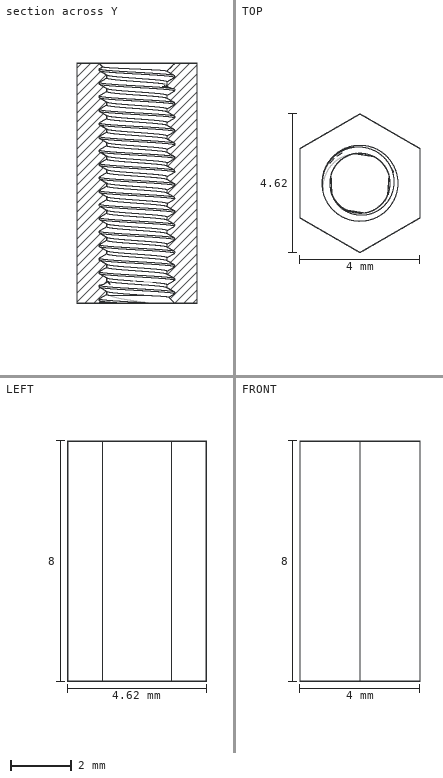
import cadquery as cq
import math

across_flats = 4.0
length = 8.0
across_corners = across_flats / math.cos(math.radians(30))

pitch = 0.45
minor_diameter = 2.0
major_diameter = 2.5
root_width = pitch / 8
flank_slope = math.tan(math.radians(30))
thread_start_angle = -100.0

countersink_diameter = 2.53
countersink_depth = (countersink_diameter - minor_diameter) / 2

groove_overrun = pitch
groove_turns = math.ceil((length + 2 * groove_overrun) / pitch)
groove_height = groove_turns * pitch

groove_overlap = 0.03

core_overrun = 2 * groove_overrun


def hexagonal_body():
    """Hexagonal prism with flats facing -X and +X."""
    return (
        cq.Workplane("XY")
        .polygon(6, across_corners)
        .extrude(length)
        .rotate((0, 0, 0), (0, 0, 1), 90)
    )


def groove_profile():
    """Radius and height of the corners of the 60 degree V groove with a flat root."""
    root_radius = major_diameter / 2
    mouth_radius = minor_diameter / 2 - groove_overlap
    root_half = root_width / 2
    mouth_half = root_half + (root_radius - mouth_radius) * flank_slope
    return [
        (mouth_radius, -mouth_half),
        (root_radius, -root_half),
        (root_radius, root_half),
        (mouth_radius, mouth_half),
    ]


def thread_groove():
    """Right-handed helical groove as a solid: ruled faces between helices, closed by two end faces."""
    profile = groove_profile()
    helices = [
        cq.Wire.makeHelix(pitch, groove_height, radius, center=cq.Vector(0, 0, height))
        for radius, height in profile
    ]
    faces = [
        cq.Face.makeRuledSurface(helices[i - 1], helices[i])
        for i in range(len(helices))
    ]
    for end_height in (0, groove_height):
        corners = [cq.Vector(radius, 0, height + end_height) for radius, height in profile]
        faces.append(cq.Face.makeFromWires(cq.Wire.makePolygon(corners, close=True)))
    groove = cq.Solid.makeSolid(cq.Shell.makeShell(faces))
    return (
        cq.Workplane(groove)
        .rotate((0, 0, 0), (0, 0, 1), thread_start_angle)
        .translate((0, 0, -groove_overrun))
    )


def threaded_bore():
    """Minor-diameter core joined with its thread groove, longer than the body at both ends."""
    core = (
        cq.Workplane("XY", origin=(0, 0, -core_overrun))
        .circle(minor_diameter / 2)
        .extrude(length + 2 * core_overrun)
    )
    return core.union(thread_groove())


def top_countersink():
    """Conical lead-in at the top end of the bore."""
    return (
        cq.Workplane("XY", origin=(0, 0, length))
        .circle(countersink_diameter / 2)
        .workplane(offset=-countersink_depth)
        .circle(minor_diameter / 2)
        .loft()
    )


def bottom_countersink():
    """The top lead-in mirrored about the middle of the body."""
    return top_countersink().mirror("XY", (0, 0, length / 2))


result = (
    hexagonal_body()
    .cut(threaded_bore())
    .cut(top_countersink())
    .cut(bottom_countersink())
)